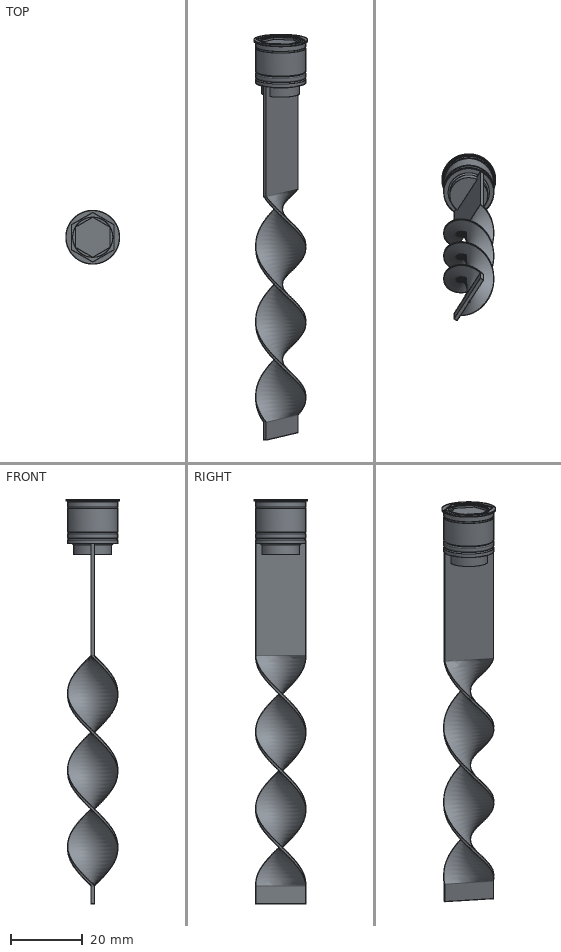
import cadquery as cq

total_height = 112.5

flange_radius = 7.48
flange_thickness = 0.5
flange_flare = 0.2
barrel_radius = 7.0
barrel_bottom = total_height - 12.3
neck_radius = 5.3
neck_bottom = total_height - 15.3
neck_flare = 0.5

relief_top = total_height - 2.0
relief_width = 0.5
relief_depth = 0.1

seal_top = total_height - 9.3
seal_width = 1.6
seal_depth = 1.1
seal_edge_radius = 0.3
seal_groove_chamfer = 0.3

outer_hex_flats = 11.9
inner_hex_flats = 9.7
recess_step = 0.2
inner_hex_depth = 0.6

blade_width = 14.0
blade_thickness = 1.0
tip_length = 5.1
twist_length = 64.0
twist_angle = -540.0

corner_ratio = 2 / 3 ** 0.5


def disc(radius, bottom, top):
    return cq.Workplane("XY").workplane(offset=bottom).circle(radius).extrude(top - bottom)


def flare(radius, size, top):
    """Cone that widens upward at 45 degrees from the given radius."""
    cone = cq.Solid.makeCone(radius, radius + size, size, cq.Vector(0, 0, top - size))
    return cq.Workplane(cone)


def ring(inner_radius, outer_radius, bottom, top):
    return disc(outer_radius, bottom, top).cut(disc(inner_radius, bottom, top))


def hexagon(across_flats, bottom, top):
    """Hexagonal prism with two flats facing along X."""
    prism = cq.Workplane("XY").workplane(offset=bottom).polygon(6, across_flats * corner_ratio)
    return prism.extrude(top - bottom).rotate((0, 0, 0), (0, 0, 1), 30)


def blade_bar(bottom, top):
    bar = cq.Workplane("XY").workplane(offset=bottom).rect(blade_thickness, blade_width)
    return bar.extrude(top - bottom)


def make_blade():
    """Strip that runs up to the barrel's underside, twisted over its lower part."""
    twist_top = tip_length + twist_length
    twisted = (
        cq.Workplane("XY")
        .workplane(offset=tip_length)
        .rect(blade_thickness, blade_width)
        .twistExtrude(twist_length, twist_angle)
    )
    tip = blade_bar(0, tip_length)
    shank = blade_bar(twist_top, barrel_bottom)
    return tip.union(twisted).union(shank)


def make_seal():
    """Ring flush with the barrel, with rounded outer edges."""
    seal = ring(barrel_radius - seal_depth, barrel_radius, seal_top - seal_width, seal_top)
    rim = cq.selectors.RadiusNthSelector(-1)
    return seal.edges(rim).edges("%CIRCLE").fillet(seal_edge_radius)


def cut_seal_groove(plug):
    """Square groove for the seal, with both lips bevelled at 45 degrees."""
    inner = barrel_radius - seal_depth
    bevel_root = barrel_radius - seal_groove_chamfer
    bottom = seal_top - seal_width
    profile = [
        (inner, bottom),
        (bevel_root, bottom),
        (barrel_radius, bottom - seal_groove_chamfer),
        (barrel_radius, seal_top + seal_groove_chamfer),
        (bevel_root, seal_top),
        (inner, seal_top),
    ]
    groove = cq.Workplane("XZ").polyline(profile).close().revolve(360, (0, 0, 0), (0, 1, 0))
    return plug.cut(groove)


def cut_recess(plug):
    """Hexagon, circle through the inner hexagon's corners, then the inner hexagon."""
    circle_radius = inner_hex_flats * corner_ratio / 2
    circle_top = total_height - recess_step
    inner_top = circle_top - recess_step
    floor = inner_top - inner_hex_depth
    plug = plug.cut(hexagon(outer_hex_flats, circle_top, total_height))
    plug = plug.cut(disc(circle_radius, inner_top, circle_top))
    return plug.cut(hexagon(inner_hex_flats, floor, inner_top))


def make_plug():
    flange = disc(flange_radius, total_height - flange_thickness, total_height)
    barrel = disc(barrel_radius, barrel_bottom, total_height - flange_thickness)
    neck = disc(neck_radius, neck_bottom, barrel_bottom)
    flange_cone = flare(barrel_radius, flange_flare, total_height - flange_thickness)
    neck_cone = flare(neck_radius, neck_flare, barrel_bottom)
    plug = flange.union(barrel).union(neck).union(flange_cone).union(neck_cone)

    relief_bottom = relief_top - relief_width
    plug = plug.cut(ring(barrel_radius - relief_depth, flange_radius, relief_bottom, relief_top))
    plug = cut_seal_groove(plug)

    plug = plug.cut(blade_bar(neck_bottom, barrel_bottom))
    return cut_recess(plug)


plug = make_plug()
seal = make_seal()
blade = make_blade()

result = cq.Compound.makeCompound([body.solids().val() for body in (plug, seal, blade)])